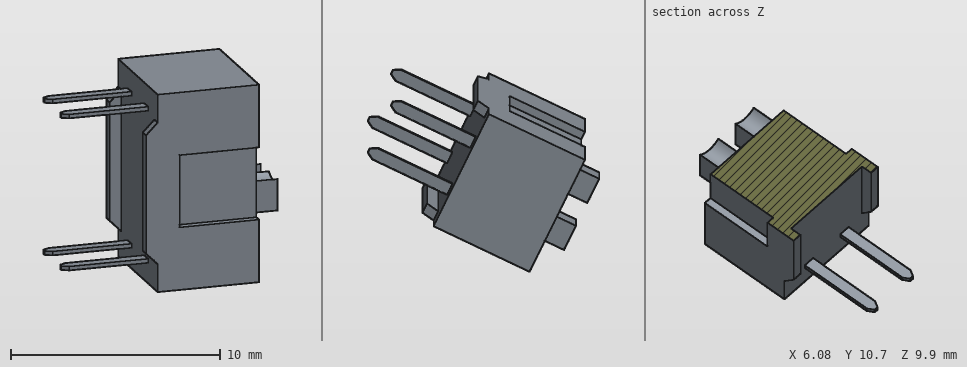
import cadquery as cq

housing_width = 6.08
housing_depth = 5.1
housing_height = 9.9

foot_width = 0.5
foot_projection = 0.59
foot_length = 7.1

column_pitch = 2.55
pin_row_spacing = 7.62
pin_length = 4.3
pin_width = 0.6
pin_thickness = 0.2
pin_tip_width = 0.21
pin_taper_length = 0.33

recess_depth = 0.41
recess_height = 3.62
recess_reach = 4.0

knob_width = 1.32
knob_height = 1.58
knob_projection = 1.3
knob_bottom = -recess_height / 2
knob_dish_depth = 0.25


def make_housing():
    return cq.Workplane("XY").box(
        housing_width, housing_depth, housing_height, centered=(True, False, True)
    )


def make_foot(side):
    """Foot with 45-degree ends, flush with the side wall on the given side (-1 or 1)."""
    tip_half_length = foot_length / 2 - foot_projection
    profile = [
        (0, -foot_length / 2),
        (-foot_projection, -tip_half_length),
        (-foot_projection, tip_half_length),
        (0, foot_length / 2),
    ]
    outer_face = side * housing_width / 2
    return (
        cq.Workplane("YZ", origin=(outer_face, 0, 0))
        .polyline(profile)
        .close()
        .extrude(-side * foot_width)
    )


def make_pin(x, z):
    """Flat pin with a tip tapered in width only."""
    half_width = pin_width / 2
    half_tip = pin_tip_width / 2
    shoulder = -pin_length + pin_taper_length
    profile = [
        (x - half_width, 0),
        (x - half_width, shoulder),
        (x - half_tip, -pin_length),
        (x + half_tip, -pin_length),
        (x + half_width, shoulder),
        (x + half_width, 0),
    ]
    return (
        cq.Workplane("XY", origin=(0, 0, z - pin_thickness / 2))
        .polyline(profile)
        .close()
        .extrude(pin_thickness)
    )


def make_recess(side):
    """Cutter for the side-wall recess on the given side (-1 or 1)."""
    x = side * (housing_width - recess_depth) / 2
    y = housing_depth - recess_reach / 2
    return cq.Workplane("XY").box(recess_depth, recess_reach, recess_height).translate((x, y, 0))


def make_knob(x):
    """Rectangular knob with a concave arc dished into its upper side."""
    left = x - knob_width / 2
    right = x + knob_width / 2
    top = knob_bottom + knob_height
    return (
        cq.Workplane("XZ", origin=(0, housing_depth, 0))
        .moveTo(left, knob_bottom)
        .lineTo(left, top)
        .threePointArc((x, top - knob_dish_depth), (right, top))
        .lineTo(right, knob_bottom)
        .close()
        .extrude(-knob_projection)
    )


result = make_housing()

for side in (-1, 1):
    column_x = side * column_pitch / 2
    result = result.cut(make_recess(side))
    result = result.union(make_foot(side))
    result = result.union(make_knob(column_x))
    for row in (-1, 1):
        result = result.union(make_pin(column_x, row * pin_row_spacing / 2))